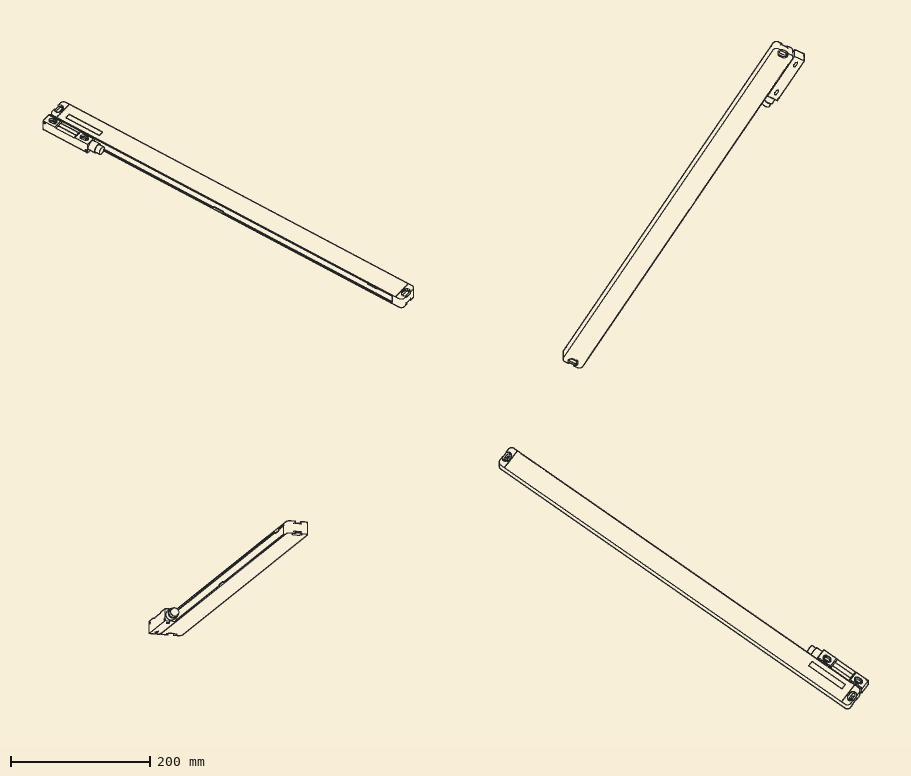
import cadquery as cq

length = 625.0
depth = 49.0
height = 18.0

beam_width = 32.0
beam_front = depth - beam_width
beam_middle = beam_front + beam_width / 2
cap_length = 12.0
cap_corner_radius = 5.5
cap_joint = 0.3
end_slot_inset = 5.0
end_slot_length = 11.0
end_slot_width = 4.5
end_recess_length = 15.0
end_recess_width = 10.5
end_recess_depth = 3.0
lip_height = 2.5
channel_depth = 1.0
channel_inset = 18.0
tab_length = 17.5
tab_rise = 2.0
lower_tab_x = 299.0
upper_tab_x = 572.0
label_start = 23.0
label_length = 59.5
label_width = 8.0
label_front = 24.5
label_depth = 0.5

head_length = 79.5
head_gap = 0.5
head_width = beam_front - head_gap
ledge_width = 2.0
ledge_depth = 0.5
saddle_depth = 1.0
saddle_start = 21.0
saddle_end = 57.0
saddle_slope_run = 2.0
ridge_front = 5.5
ridge_width = 6.0
ridge_height = 0.5
slot_middles = (12.0, 67.5)
slot_middle_y = 8.0
slot_length = 9.0
slot_width = 3.0
slot_recess_length = 12.5
slot_recess_width = 7.5
slot_recess_depth = 3.0
dimple_radius = 1.55
dimple_depth = 0.5
dimple_inset = 2.8

outlet_y = 9.0
gland_radius = 7.5
gland_length = 11.0
ferrule_radius = 6.0
ferrule_length = 7.5


def box(x, y, z, size_x, size_y, size_z):
    """Box given by its lowest corner and its sizes."""
    return cq.Workplane("XY").box(size_x, size_y, size_z, centered=False).translate((x, y, z))


def slot_cut(x, y, z, slot_size, slot_depth, angle=0):
    """Round-ended slot, (length, width) in size, rising from z; it runs along X when the angle is 0."""
    return cq.Workplane("XY", origin=(x, y, z)).slot2D(*slot_size, angle).extrude(slot_depth)


def end_slot(x):
    """Crosswise through slot, recessed from both faces; the recesses break out of the beam end."""
    cut = slot_cut(x, beam_middle, 0, (end_slot_length, end_slot_width), height, 90)
    for z in (0, height - end_recess_depth):
        recess_size = (end_recess_length, end_recess_width)
        cut = cut.union(slot_cut(x, beam_middle, z, recess_size, end_recess_depth, 90))
    return cut


def front_channel():
    """Shallow channel along the front face, less the two tabs that widen its lips."""
    channel_height = height - 2 * lip_height
    channel = box(
        channel_inset, beam_front, lip_height, length - 2 * channel_inset, channel_depth, channel_height
    )
    for x, z in ((lower_tab_x, lip_height), (upper_tab_x, height - lip_height - tab_rise)):
        channel = channel.cut(box(x - tab_length / 2, beam_front, z, tab_length, channel_depth, tab_rise))
    return channel


def make_beam():
    beam = box(0, beam_front, 0, length, beam_width, height).edges("|Z").fillet(cap_corner_radius)
    for x in (end_slot_inset, length - end_slot_inset):
        beam = beam.cut(end_slot(x))
    for x in (cap_length, length - cap_length - cap_joint):
        beam = beam.cut(box(x, beam_front, height - cap_joint, cap_joint, beam_width, cap_joint))
    beam = beam.cut(front_channel())
    label = box(label_start, label_front, height - label_depth, label_length, label_width, label_depth)
    return beam.cut(label)


def saddle_cut():
    """Shallow dip between the mounting pads, with sloped ends."""
    floor = height - saddle_depth
    profile = [
        (saddle_start, height),
        (saddle_start + saddle_slope_run, floor),
        (saddle_end - saddle_slope_run, floor),
        (saddle_end, height),
    ]
    return cq.Workplane("XZ").polyline(profile).close().extrude(-head_width)


def mounting_slot(x):
    cut = slot_cut(x, slot_middle_y, 0, (slot_length, slot_width), height)
    recess_floor = height - slot_recess_depth
    recess_size = (slot_recess_length, slot_recess_width)
    return cut.union(slot_cut(x, slot_middle_y, recess_floor, recess_size, slot_recess_depth))


def front_dimple(x, z):
    """Small round recess in the front face of the head."""
    return cq.Workplane("XZ", origin=(x, 0, z)).circle(dimple_radius).extrude(-dimple_depth)


def make_head():
    head = box(0, 0, 0, head_length, head_width, height)
    ledge_front = head_width - ledge_width
    head = head.cut(box(0, ledge_front, height - ledge_depth, head_length, ledge_width, ledge_depth))
    head = head.cut(saddle_cut())
    ridge_start = saddle_start + saddle_slope_run
    ridge_length = saddle_end - saddle_slope_run - ridge_start
    head = head.union(
        box(ridge_start, ridge_front, height - saddle_depth, ridge_length, ridge_width, ridge_height)
    )
    for x in slot_middles:
        head = head.cut(mounting_slot(x))
    head = head.cut(front_dimple(dimple_inset, height - dimple_inset))
    head = head.cut(front_dimple(head_length - dimple_inset, dimple_inset))
    outlet_centre = (head_length, outlet_y, height / 2)
    outlet = cq.Workplane(cq.Plane(origin=outlet_centre, xDir=(0, 0, 1), normal=(1, 0, 0)))
    head = head.union(outlet.circle(gland_radius).extrude(gland_length))
    return head.union(outlet.circle(ferrule_radius).extrude(gland_length + ferrule_length))


beam = make_beam()
head = make_head()
result = cq.Compound.makeCompound([beam.val(), head.val()])